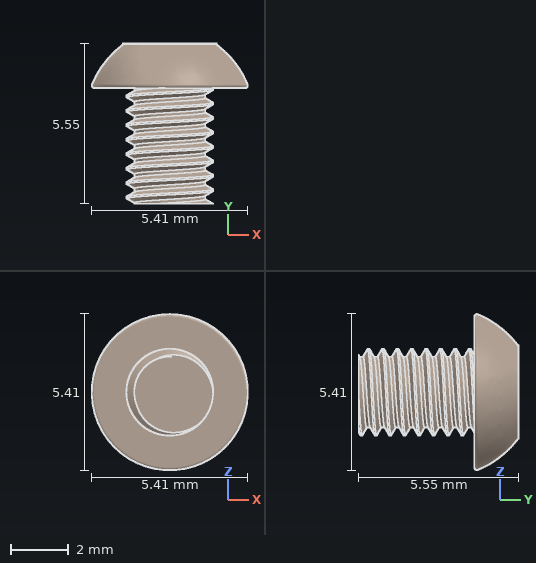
import cadquery as cq
import math


HEAD_DIAMETER = 5.41
HEAD_HEIGHT = 1.55
HEAD_TOP_DIAMETER = 3.24
TOP_LAND_HEIGHT = 0.03
RIM_RADIUS = 0.1
RIM_HEIGHT = 0.13
DOME_MID_RADIUS = 2.06
DOME_MID_HEIGHT = 1.12

THREAD_DIAMETER = 3.0
PITCH = 0.5
SHANK_LENGTH = 4.0
FLANK_HALF_ANGLE = math.radians(30)
SHARP_HEIGHT = PITCH / 2 / math.tan(FLANK_HALF_ANGLE)
CREST_RADIUS = THREAD_DIAMETER / 2
ROOT_RADIUS = CREST_RADIUS - 5 / 8 * SHARP_HEIGHT
CREST_WIDTH = PITCH / 8
ROOT_WIDTH = PITCH / 4
SHANK_SINK = PITCH
MOUTH_CLEARANCE = 0.005
CUT_TOLERANCE = 1e-4


def revolve_about_y(profile):
    """Revolve a closed YZ profile (axial, radial) about the Y axis."""
    return profile.revolve(360, (0, 0, 0), (1, 0, 0))


def make_head():
    """Domed head with a flat top and a rounded rim."""
    head_radius = HEAD_DIAMETER / 2
    top_radius = HEAD_TOP_DIAMETER / 2
    dome_end_height = HEAD_HEIGHT - TOP_LAND_HEIGHT
    bearing_radius = head_radius - RIM_RADIUS
    rim_end_rise = RIM_HEIGHT - RIM_RADIUS
    rim_end_radius = bearing_radius + math.sqrt(RIM_RADIUS**2 - rim_end_rise**2)
    profile = (
        cq.Workplane("YZ")
        .moveTo(0, 0)
        .lineTo(0, bearing_radius)
        .threePointArc((RIM_RADIUS, head_radius), (RIM_HEIGHT, rim_end_radius))
        .threePointArc((DOME_MID_HEIGHT, DOME_MID_RADIUS), (dome_end_height, top_radius))
        .lineTo(HEAD_HEIGHT, top_radius)
        .lineTo(HEAD_HEIGHT, 0)
        .close()
    )
    return revolve_about_y(profile)


def make_shank():
    """Plain cylinder at the crest diameter, sunk into the head."""
    profile = (
        cq.Workplane("YZ")
        .moveTo(-SHANK_LENGTH, 0)
        .lineTo(-SHANK_LENGTH, CREST_RADIUS)
        .lineTo(SHANK_SINK, CREST_RADIUS)
        .lineTo(SHANK_SINK, 0)
        .close()
    )
    return revolve_about_y(profile)


def make_groove():
    """Helical thread groove; its last turn runs out into the head's bearing face."""
    root_half = ROOT_WIDTH / 2
    mouth_half = (PITCH - CREST_WIDTH) / 2
    mouth_radius = CREST_RADIUS + MOUTH_CLEARANCE
    helix_height = SHANK_LENGTH + PITCH

    helix = cq.Wire.makeHelix(PITCH, helix_height, ROOT_RADIUS)
    groove = (
        cq.Workplane("XZ")
        .moveTo(ROOT_RADIUS, -root_half)
        .lineTo(CREST_RADIUS, -mouth_half)
        .lineTo(mouth_radius, -mouth_half)
        .lineTo(mouth_radius, mouth_half)
        .lineTo(CREST_RADIUS, mouth_half)
        .lineTo(ROOT_RADIUS, root_half)
        .close()
        .sweep(cq.Workplane(obj=helix), isFrenet=True)
        .rotate((0, 0, 0), (1, 0, 0), -90)
    )
    return groove.translate((0, mouth_half - helix_height, 0))


result = make_head().union(make_shank()).cut(make_groove(), tol=CUT_TOLERANCE)